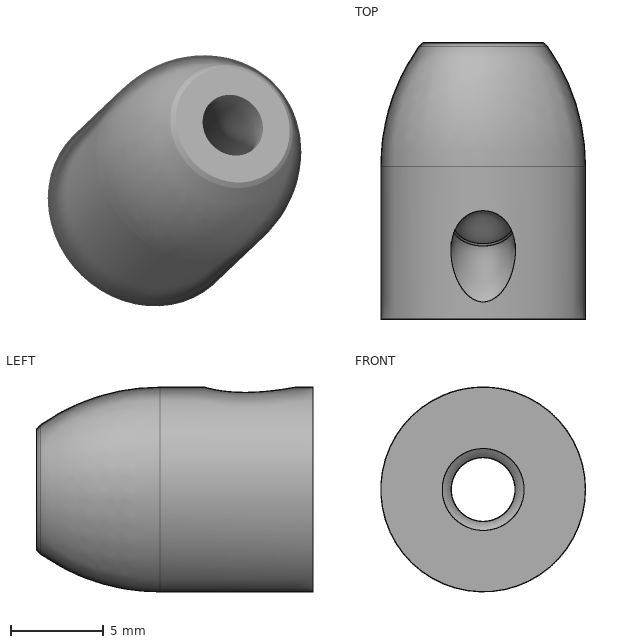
import cadquery as cq
import math

length = 15.0
body_radius = 5.55
straight_length = 8.3
nose_arc_radius = 11.25
nose_edge_setback = 0.22
nose_face_radius = 3.25

bore_diameter = 3.45
bore_chamfer = 0.5

side_hole_diameter = 3.5
side_hole_angle = 45.0
side_hole_y = 3.42
side_hole_depth = 2.62
side_hole_floor_chamfer = 0.09


def nose_radius(y):
    """Radius of the nose arc, which leaves the cylinder tangentially."""
    rise = math.sqrt(nose_arc_radius**2 - (y - straight_length) ** 2)
    return body_radius - nose_arc_radius + rise


def make_body():
    nose_edge_y = length - nose_edge_setback
    nose_middle_y = (straight_length + nose_edge_y) / 2
    return (
        cq.Workplane("XY")
        .lineTo(body_radius, 0)
        .lineTo(body_radius, straight_length)
        .threePointArc(
            (nose_radius(nose_middle_y), nose_middle_y),
            (nose_radius(nose_edge_y), nose_edge_y),
        )
        .lineTo(nose_face_radius, length)
        .lineTo(0, length)
        .close()
        .revolve(360, (0, 0, 0), (0, 1, 0))
    )


def make_bore():
    bore_radius = bore_diameter / 2
    return (
        cq.Workplane("XY")
        .lineTo(bore_radius + bore_chamfer, 0)
        .lineTo(bore_radius, bore_chamfer)
        .lineTo(bore_radius, length)
        .lineTo(0, length)
        .close()
        .revolve(360, (0, 0, 0), (0, 1, 0))
    )


def make_side_hole():
    slope = math.radians(side_hole_angle)
    outward = cq.Vector(0, -math.cos(slope), math.sin(slope))
    mouth_centre = cq.Vector(0, side_hole_y, body_radius)
    floor_centre = mouth_centre - outward * side_hole_depth
    floor_plane = cq.Plane(floor_centre, xDir=(1, 0, 0), normal=outward)
    cutter_length = side_hole_depth + body_radius
    return (
        cq.Workplane(floor_plane)
        .circle(side_hole_diameter / 2)
        .extrude(cutter_length)
        .faces(cq.selectors.DirectionMinMaxSelector(outward, False))
        .chamfer(side_hole_floor_chamfer)
    )


result = make_body().cut(make_bore()).cut(make_side_hole())